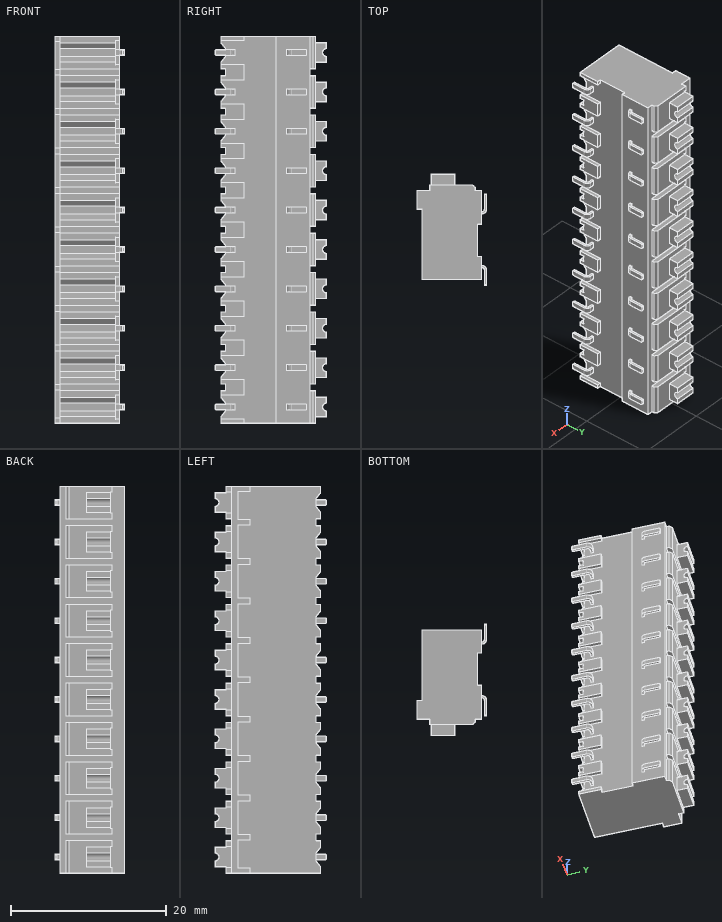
import cadquery as cq
import math


length = 49.9
positions = 10
end_margin = 2.1
pitch = (length - 2 * end_margin) / (positions - 1)
centres = [end_margin + i * pitch for i in range(positions)]
boundaries = [centre + pitch / 2 for centre in centres[:-1]]

body_left = 0.65
body_right = 8.35
flange_top = 11.55
flange_bar_bottom = 10.65
flange_tab_bottom = 9.1
tab_height = 0.75
end_tab_height = 0.65

collar_left = 1.65
collar_right = 7.55
collar_top = 12.25
collar_chamfer = 0.35
collar_gap = 0.85

relief_depth = 0.5
relief_bottom = 3.0
relief_top = 7.15
relief_floor = body_right - relief_depth
pocket_height = 3.1

groove_depth = 0.6
groove_floor_height = 1.0
groove_mouth_height = 2.5
slot_height = 0.85

knob_left = 1.85
knob_right = 4.9
knob_top = 13.65
knob_height = 2.55
knob_opening_height = 2.75
knob_notch_radius = 0.5

lead_outer = 9.0
lead_thickness = 0.3
lead_width = 0.75
lead_length = 2.6
lead_bend_radius = 0.6
lead_tip_chamfer = 0.1
front_lead_tip = -0.75
front_lead_bend = front_lead_tip + lead_length
rear_lead_bend = 8.5


def block(x0, x1, y0, y1, z0, z1):
    """Box between two opposite corners."""
    return cq.Workplane("XY").box(x1 - x0, y1 - y0, z1 - z0, centered=False).translate((x0, y0, z0))


def level_block(x0, x1, y0, y1, centre, height):
    """Box centred on a Z level."""
    return block(x0, x1, y0, y1, centre - height / 2, centre + height / 2)


def make_housing():
    """Constant section with flange, collar and relief."""
    section = [
        (body_left, 0),
        (body_right, 0),
        (body_right, relief_bottom),
        (relief_floor, relief_bottom),
        (relief_floor, relief_top),
        (body_right, relief_top),
        (body_right, flange_top),
        (collar_right, flange_top),
        (collar_right, collar_top - collar_chamfer),
        (collar_right - collar_chamfer, collar_top),
        (collar_left, collar_top),
        (collar_left, flange_top),
        (0, flange_top),
        (0, flange_bar_bottom),
        (body_left, flange_bar_bottom),
    ]
    return cq.Workplane("XY").polyline(section).close().extrude(length)


def flange_tab(z0, z1):
    """Tab below the flange bar."""
    return block(0, body_left, flange_tab_bottom, flange_bar_bottom, z0, z1)


def groove(centre):
    """Tapered groove across the tooth face."""
    mouth = groove_mouth_height / 2
    floor = groove_floor_height / 2
    profile = [
        (0, centre - mouth),
        (groove_depth, centre - floor),
        (groove_depth, centre + floor),
        (0, centre + mouth),
    ]
    return cq.Workplane("YZ").polyline(profile).close().extrude(body_right)


def knob(centre):
    """Block with a round notch across its outer end."""
    body = level_block(knob_left, knob_right, flange_top, knob_top, centre, knob_height)
    notch = (
        cq.Workplane("YZ", origin=(knob_left, knob_top, centre))
        .circle(knob_notch_radius)
        .extrude(knob_right - knob_left)
    )
    return body.cut(notch)


def lead(root, bend, direction, centre):
    """L-shaped lead leaving the housing in +X and turning along Y in the given direction."""
    inner = lead_outer - lead_thickness
    tip = bend + direction * lead_length
    arc_x = lead_outer - lead_bend_radius
    arc_y = bend + direction * lead_bend_radius
    inner_radius = lead_bend_radius - lead_thickness

    def arc_middle(radius):
        offset = radius * math.sqrt(0.5)
        return (arc_x + offset, arc_y - direction * offset)

    strip = (
        cq.Workplane("XY", origin=(0, 0, centre - lead_width / 2))
        .moveTo(root, bend)
        .lineTo(arc_x, bend)
        .threePointArc(arc_middle(lead_bend_radius), (lead_outer, arc_y))
        .lineTo(lead_outer, tip)
        .lineTo(inner, tip)
        .lineTo(inner, arc_y)
        .threePointArc(arc_middle(inner_radius), (arc_x, bend + direction * lead_thickness))
        .lineTo(root, bend + direction * lead_thickness)
        .close()
        .extrude(lead_width)
    )
    tip_face = ">Y" if direction > 0 else "<Y"
    return strip.faces(tip_face).edges("|X").chamfer(lead_tip_chamfer)


additions = [
    flange_tab(0, end_tab_height),
    flange_tab(length - end_tab_height, length),
]
cutters = []

for level in boundaries:
    additions.append(flange_tab(level - tab_height / 2, level + tab_height / 2))
    cutters.append(level_block(collar_left, collar_right, flange_top, collar_top, level, collar_gap))
    cutters.append(level_block(body_left, body_right, 0, groove_depth, level, slot_height))

for centre in centres:
    cutters.append(groove(centre))
    cutters.append(level_block(relief_floor, body_right, 0, relief_bottom, centre, pocket_height))
    cutters.append(level_block(collar_left, knob_left, flange_top, collar_top, centre, knob_opening_height))
    additions.append(knob(centre))
    additions.append(lead(relief_floor, front_lead_bend, -1, centre))
    additions.append(lead(body_right, rear_lead_bend, 1, centre))

housing = make_housing().val().cut(*[cutter.val() for cutter in cutters])
part = housing.fuse(*[addition.val() for addition in additions]).clean()
result = cq.Workplane("XY").newObject(part.Solids())